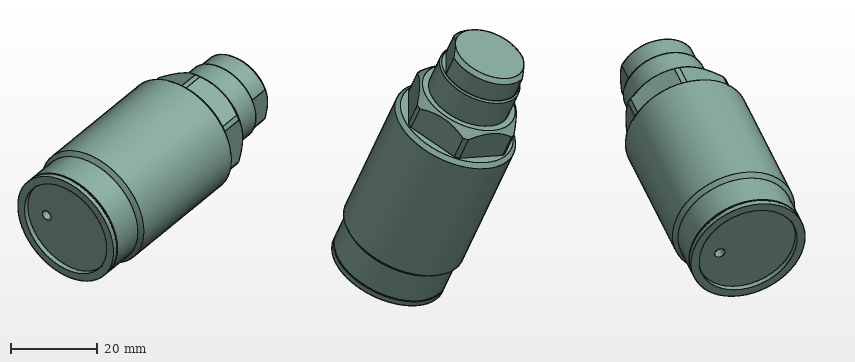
import cadquery as cq
import math


total_length = 65.75
ring_thickness = 1.25
shoulder_front = 9.25
housing_rear = 44.5
hex_rear = 52.25
collar_rear = 59.75

housing_diameter = 30.0
nose_diameter = 28.0
housing_chamfer = (housing_diameter - nose_diameter) / 2
nose_chamfer = 0.3

port_diameter = 2.5
port_offset = 6.5
port_depth = 5.0

ring_bore_diameter = 24.0

hex_across_flats = 24.0
hex_corner_diameter = 27.0
hex_chamfer = 2.0
collar_diameter = 20.0
collar_chamfer = 0.4
tail_diameter = 19.0
tail_across_flats = 17.0
tail_chamfer = 1.0


def cylinder(diameter, front, rear):
    """Solid cylinder on the Y axis between two axial positions."""
    plane = cq.Workplane("XZ", origin=(0, front, 0))
    return plane.circle(diameter / 2).extrude(front - rear)


def make_housing():
    """Round barrel with a narrower nose and an off-centre blind port in the nose face."""
    barrel = cylinder(housing_diameter, shoulder_front, housing_rear)
    barrel = barrel.faces("<Y or >Y").chamfer(housing_chamfer)
    nose = cylinder(nose_diameter, ring_thickness, shoulder_front + housing_chamfer)
    nose = nose.faces("<Y").chamfer(nose_chamfer)
    port = cylinder(port_diameter, ring_thickness, ring_thickness + port_depth)
    return barrel.union(nose).cut(port.translate((-port_offset, 0, 0)))


def make_front_ring():
    """Flat ring that seats against the nose face of the housing."""
    blank = cylinder(nose_diameter, 0, ring_thickness)
    return blank.cut(cylinder(ring_bore_diameter, 0, ring_thickness))


def make_hex():
    """Hexagon with flats facing +X and -X, corners turned round and a chamfered rear."""
    length = hex_rear - housing_rear
    hex_sides = 6
    half_sector = 180 / hex_sides
    corner_distance = hex_across_flats / math.cos(math.radians(half_sector))
    prism = (
        cq.Workplane("XZ", origin=(0, housing_rear, 0))
        .polygon(hex_sides, corner_distance)
        .extrude(-length)
        .rotate((0, 0, 0), (0, 1, 0), half_sector)
    )
    turned_blank = cylinder(hex_corner_diameter, housing_rear, hex_rear)
    turned_blank = turned_blank.faces(">Y").chamfer(hex_chamfer)
    return prism.intersect(turned_blank)


def make_tail():
    """Chamfered rear cylinder with two parallel flats facing +X and -X."""
    length = total_length - collar_rear
    blank = cylinder(tail_diameter, collar_rear, total_length).faces(">Y").chamfer(tail_chamfer)
    flats = (
        cq.Workplane("XZ", origin=(0, collar_rear, 0))
        .rect(tail_across_flats, tail_diameter)
        .extrude(-length)
    )
    return blank.intersect(flats)


def make_rear_fitting():
    """Hexagon, round collar and flatted tail as one piece."""
    collar = cylinder(collar_diameter, hex_rear, collar_rear).faces(">Y").chamfer(collar_chamfer)
    return make_hex().union(collar).union(make_tail())


housing = make_housing()
front_ring = make_front_ring()
rear_fitting = make_rear_fitting()

result = cq.Compound.makeCompound([housing.val(), front_ring.val(), rear_fitting.val()])